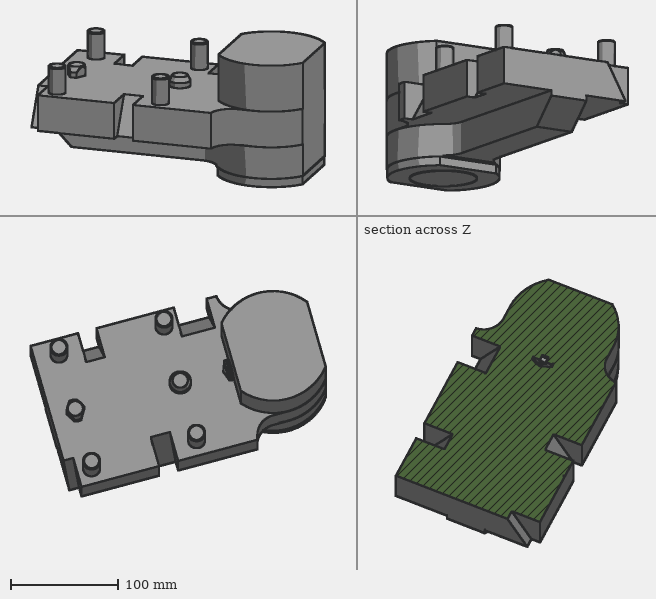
import cadquery as cq
import math


overall_length = 257.0
plate_width = 144.0
plate_thickness = 35.0
neck_start_x = 200.0
neck_half_width = 53.25
neck_fillet_radius = 20.0

notch_angle = 30.0
notch_inner_y = 43.0
right_notches = [(0.0, 9.4), (84.5, 103.0)]
left_notches = [(46.0, 63.8), (138.7, 170.5)]

hub_x = 215.0
hub_radius = 53.0
hub_far_flat = overall_length - hub_x
upper_near_flat = 40.7
upper_height = 45.0
lower_near_flat = 45.0
lower_height = 31.0
ring_radius = 52.5
ring_near_flat = 42.3
ring_far_flat = 41.5
ring_height = 8.3
disc_diameter = 63.0
disc_height = 0.7

beam_width = 39.0
beam_height = 30.0
beam_chamfer = 25.0
beam_fillet_radius = 20.0

pin_near_x = 23.3
pin_far_x = 125.0
pin_y = 57.0
clamp_pin_diameter = 16.0
clamp_pin_height = 26.0
clamp_pin_chamfer = 1.0
locator_diameter = 20.0
locator_height = 10.0
locator_straight_height = 5.0
locator_taper_angle = 30.0
diamond_half_length = 8.7
diamond_flat_angle = 60.0

pocket_diameter = 20.0
pocket_tip_x = 166.6
pocket_cone_length = 3.8
plug_diameter = 19.6
plug_face_x = 172.5
plug_chamfer = 0.7
plug_bore_diameter = 6.0
plug_bore_depth = 6.0
plug_countersink_diameter = 8.0
plug_countersink_depth = 1.0


def block(x_start, x_end, y_start, y_end, z_bottom, z_top):
    size = (x_end - x_start, y_end - y_start, z_top - z_bottom)
    return cq.Workplane("XY").box(*size, centered=False).translate((x_start, y_start, z_bottom))


def cylinder(x, y, z_bottom, diameter, height):
    return cq.Workplane("XY", origin=(x, y, z_bottom)).circle(diameter / 2).extrude(height)


def flatted_cylinder(radius, near_flat, far_flat, z_bottom, height):
    """Cylinder on the hub axis, cut flat on its -X and +X sides."""
    body = cylinder(hub_x, 0, z_bottom, 2 * radius, height)
    limits = block(hub_x - near_flat, hub_x + far_flat, -radius, radius, z_bottom, z_bottom + height)
    return body.intersect(limits)


def turned_about_x(profile):
    """Revolve an (x, radius) outline, closed along the X axis."""
    return cq.Workplane("XZ").polyline(profile).close().revolve(360, (0, 0, 0), (1, 0, 0))


def make_plate():
    half_width = plate_width / 2
    fillet_center_y = neck_half_width + neck_fillet_radius
    corner_drop = fillet_center_y - half_width
    corner_x = neck_start_x - math.sqrt(neck_fillet_radius**2 - corner_drop**2)
    middle_x = neck_start_x - neck_fillet_radius * math.sqrt(0.5)
    middle_y = fillet_center_y - neck_fillet_radius * math.sqrt(0.5)
    flat_half_width = math.sqrt(neck_half_width**2 - hub_far_flat**2)
    rim_middle = neck_half_width * math.sqrt(0.5)
    outline = (
        cq.Workplane("XY", origin=(0, 0, -plate_thickness))
        .moveTo(0, -half_width)
        .lineTo(corner_x, -half_width)
        .threePointArc((middle_x, -middle_y), (neck_start_x, -neck_half_width))
        .lineTo(hub_x, -neck_half_width)
        .threePointArc((hub_x + rim_middle, -rim_middle), (overall_length, -flat_half_width))
        .lineTo(overall_length, flat_half_width)
        .threePointArc((hub_x + rim_middle, rim_middle), (hub_x, neck_half_width))
        .lineTo(neck_start_x, neck_half_width)
        .threePointArc((middle_x, middle_y), (corner_x, half_width))
        .lineTo(0, half_width)
        .close()
    )
    return outline.extrude(plate_thickness)


def notch_cutter(x_start, x_end, side):
    """Notch with a slanted floor, open at the edge on the given side (+1 or -1)."""
    floor_bottom_y = notch_inner_y + plate_thickness * math.tan(math.radians(notch_angle))
    profile = [
        (side * notch_inner_y, 0),
        (side * plate_width / 2, 0),
        (side * plate_width / 2, -plate_thickness),
        (side * floor_bottom_y, -plate_thickness),
    ]
    return cq.Workplane("YZ", origin=(x_start, 0, 0)).polyline(profile).close().extrude(x_end - x_start)


def make_beam():
    """Beam with a sloped end, blended into the lower body by arcs tangent to both."""
    half_width = beam_width / 2
    blend_center_y = half_width + beam_fillet_radius
    center_distance = hub_radius + beam_fillet_radius
    blend_start_x = hub_x - math.sqrt(center_distance**2 - blend_center_y**2)
    blend_angle = math.asin(blend_center_y / center_distance)
    tangent_x = hub_x - hub_radius * math.cos(blend_angle)
    tangent_y = hub_radius * math.sin(blend_angle)
    middle_angle = (math.pi / 2 + blend_angle) / 2
    middle_x = blend_start_x + beam_fillet_radius * math.cos(middle_angle)
    middle_y = blend_center_y - beam_fillet_radius * math.sin(middle_angle)
    beam = (
        cq.Workplane("XY", origin=(0, 0, -plate_thickness - beam_height))
        .moveTo(0, -half_width)
        .lineTo(blend_start_x, -half_width)
        .threePointArc((middle_x, -middle_y), (tangent_x, -tangent_y))
        .lineTo(hub_x, -tangent_y)
        .lineTo(hub_x, tangent_y)
        .lineTo(tangent_x, tangent_y)
        .threePointArc((middle_x, middle_y), (blend_start_x, half_width))
        .lineTo(0, half_width)
        .close()
        .extrude(beam_height)
    )
    return beam.faces("<X").edges("<Z").chamfer(beam_chamfer)


def make_clamp_pin(x, y):
    pin = cylinder(x, y, 0, clamp_pin_diameter, clamp_pin_height)
    return pin.faces(">Z").chamfer(clamp_pin_chamfer)


def make_round_locator(x):
    taper_height = locator_height - locator_straight_height
    taper_width = taper_height * math.tan(math.radians(locator_taper_angle))
    cone_top_radius = locator_diameter / 2 - taper_width
    profile = [
        (0, 0),
        (locator_diameter / 2, 0),
        (locator_diameter / 2, locator_straight_height),
        (cone_top_radius, locator_height),
        (0, locator_height),
    ]
    pin = cq.Workplane("XZ").polyline(profile).close().revolve(360, (0, 0, 0), (0, 1, 0))
    return pin.translate((x, 0, 0))


def make_diamond_locator(x):
    """Round locator relieved by four flats that meet in an edge on each X side."""
    half_width = diamond_half_length * math.tan(math.radians(diamond_flat_angle))
    outline = [
        (x - diamond_half_length, 0),
        (x, -half_width),
        (x + diamond_half_length, 0),
        (x, half_width),
    ]
    diamond = cq.Workplane("XY").polyline(outline).close().extrude(locator_height)
    return make_round_locator(x).intersect(diamond)


def make_plug_pocket():
    """Drilled pocket with a conical tip, reaching the upper body's near flat."""
    radius = pocket_diameter / 2
    end_x = hub_x - upper_near_flat
    return turned_about_x(
        [(pocket_tip_x, 0), (pocket_tip_x + pocket_cone_length, radius), (end_x, radius), (end_x, 0)]
    )


def make_plug():
    radius = plug_diameter / 2
    end_x = hub_x - upper_near_flat
    return turned_about_x(
        [
            (plug_face_x, 0),
            (plug_face_x, radius - plug_chamfer),
            (plug_face_x + plug_chamfer, radius),
            (end_x, radius),
            (end_x, 0),
        ]
    )


def make_plug_bore():
    bore_radius = plug_bore_diameter / 2
    return turned_about_x(
        [
            (plug_face_x, 0),
            (plug_face_x, plug_countersink_diameter / 2),
            (plug_face_x + plug_countersink_depth, bore_radius),
            (plug_face_x + plug_bore_depth, bore_radius),
            (plug_face_x + plug_bore_depth, 0),
        ]
    )


result = make_plate()
for x_start, x_end in right_notches:
    result = result.cut(notch_cutter(x_start, x_end, -1))
for x_start, x_end in left_notches:
    result = result.cut(notch_cutter(x_start, x_end, 1))

lower_bottom = -plate_thickness - lower_height
ring_bottom = lower_bottom - ring_height
result = result.union(flatted_cylinder(hub_radius, upper_near_flat, hub_far_flat, 0, upper_height))
result = result.union(flatted_cylinder(hub_radius, lower_near_flat, hub_far_flat, lower_bottom, lower_height))
result = result.union(flatted_cylinder(ring_radius, ring_near_flat, ring_far_flat, ring_bottom, ring_height))
result = result.union(cylinder(hub_x, 0, ring_bottom - disc_height, disc_diameter, disc_height))
result = result.union(make_beam())

result = result.cut(make_plug_pocket()).union(make_plug()).cut(make_plug_bore())

for x in (pin_near_x, pin_far_x):
    for y in (-pin_y, pin_y):
        result = result.union(make_clamp_pin(x, y))
result = result.union(make_diamond_locator(pin_near_x))
result = result.union(make_round_locator(pin_far_x))